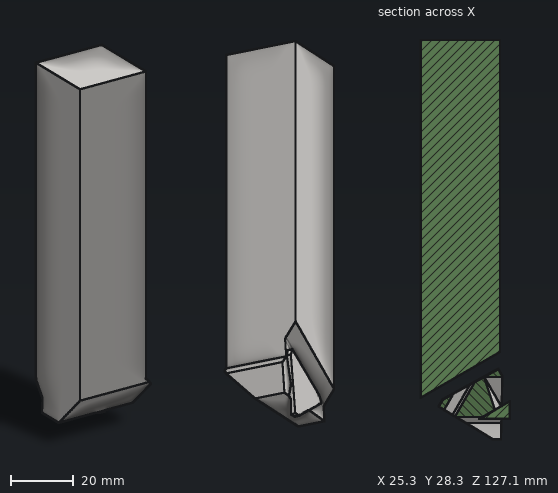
import cadquery as cq
import math

shank_width = 25.3
shank_bottom = 6.6
shank_top = 127.1
end_bevel = 12.2

ledge_depth = 3.0
ledge_outer_top = 17.2
ledge_corner_chamfer = 1.9

pocket_incline = 30.0
pocket_tilt = 4.5
pocket_shoulder = 45.0
pocket_start = 16.9
pocket_depth = 3.8
pocket_fillet = 1.3

corner_count = 3
half_corner_angle = 30.0
insert_side = 24.8
insert_thickness = 2.0
insert_corner_flat = 2.7
insert_clocking = 1.2
insert_center_y = 18.7
insert_center_z = 10.9

nib_back_x = 1.5
nib_top = 5.2
nib_ramp_width = 2.5
nib_ramp_height = 3.8

cutter_reach = 76.3
cutter_margin = 6.4

incline_cos = math.cos(math.radians(pocket_incline))
incline_sin = math.sin(math.radians(pocket_incline))
tilt_cos = math.cos(math.radians(pocket_tilt))
tilt_sin = math.sin(math.radians(pocket_tilt))
groove_direction = cq.Vector(0, incline_cos, incline_sin)
across_direction = cq.Vector(0, incline_sin, -incline_cos)

pocket_origin = cq.Vector(0, 0, pocket_start)
shoulder_slope = math.tan(math.radians(pocket_shoulder - pocket_tilt))
floor_start = pocket_depth / shoulder_slope
floor_corner = pocket_origin + cq.Vector(pocket_depth, 0, 0) + across_direction * floor_start


def make_ledge():
    """Ledge on the +Y face: 45 degree top, and a chamfer on its outer +X corner."""
    outer_y = shank_width + ledge_depth
    ledge = (
        cq.Workplane("YZ")
        .polyline([
            (shank_width, shank_bottom),
            (outer_y, shank_bottom),
            (outer_y, ledge_outer_top),
            (shank_width, ledge_outer_top + ledge_depth),
        ])
        .close()
        .extrude(shank_width)
    )
    return ledge.edges("|Z and >X and >Y").chamfer(ledge_corner_chamfer)


def make_end_bevel_cutter():
    """45 degree wedge that bevels the bottom +X corner across the shank and the ledge."""
    return (
        cq.Workplane("XZ")
        .polyline([
            (shank_width - end_bevel, shank_bottom),
            (shank_width, shank_bottom + end_bevel),
            (shank_width, shank_bottom),
        ])
        .close()
        .extrude(-2 * shank_width)
    )


def make_pocket_cutter():
    """Space swept by the pocket: a sloped shoulder, a fillet and a tilted floor."""
    outside_x = -cutter_margin
    floor_end = floor_start + cutter_reach
    floor_rise = cutter_reach * tilt_sin / tilt_cos
    section = cq.Plane(pocket_origin, xDir=(1, 0, 0), normal=groove_direction)
    cutter = (
        cq.Workplane(section)
        .polyline([
            (outside_x, outside_x / shoulder_slope),
            (pocket_depth, floor_start),
            (pocket_depth - floor_rise, floor_end),
            (outside_x - floor_rise, floor_end),
        ])
        .close()
        .extrude(cutter_reach, both=True)
    )
    inner_edge = cq.selectors.NearestToPointSelector(floor_corner.toTuple())
    return cutter.edges(inner_edge).fillet(pocket_fillet)


def make_holder():
    """Shank with its ledge, bevelled end and insert pocket."""
    shank = cq.Workplane("XY").box(
        shank_width, shank_width, shank_top - shank_bottom, centered=False
    ).translate((0, 0, shank_bottom))
    return shank.union(make_ledge()).cut(make_end_bevel_cutter()).cut(make_pocket_cutter())


def insert_outline(center_x, center_y):
    """Equilateral triangle; each corner is cut square to the edge that runs into it."""
    corner_radius = insert_side / math.sqrt(3)
    square_cut = insert_corner_flat * math.tan(math.radians(half_corner_angle))
    slanted_cut = insert_corner_flat / math.cos(math.radians(half_corner_angle))
    corners = []
    for k in range(corner_count):
        angle = math.radians(90 + insert_clocking + k * 360 / corner_count)
        corner_x = center_x + corner_radius * math.cos(angle)
        corner_y = center_y + corner_radius * math.sin(angle)
        corners.append(cq.Vector(corner_x, corner_y, 0))
    points = []
    for k, corner in enumerate(corners):
        to_previous = (corners[k - 1] - corner).normalized()
        to_next = (corners[(k + 1) % corner_count] - corner).normalized()
        for point in (corner + to_previous * square_cut, corner + to_next * slanted_cut):
            points.append((point.x, point.y))
    return points


def make_nib_relief():
    """Space behind the bottom cutting corner: an upright back face with a ramp above it."""
    far_x = nib_back_x + nib_ramp_width
    return (
        cq.Workplane("XZ")
        .polyline([
            (nib_back_x, -cutter_margin),
            (nib_back_x, nib_top),
            (far_x, nib_top + nib_ramp_height),
            (far_x, -cutter_margin),
        ])
        .close()
        .extrude(-2 * shank_width)
    )


def make_insert():
    """Triangular plate seated on the pocket floor, thinned behind each cutting corner."""
    outward = cq.Vector(-tilt_cos, 0, 0) - across_direction * tilt_sin
    seat = cq.Plane(floor_corner, xDir=groove_direction, normal=outward)
    offset = cq.Vector(0, insert_center_y, insert_center_z) - pocket_origin
    center_x = offset.dot(groove_direction)
    center_y = (offset.dot(across_direction) - floor_start) / tilt_cos
    insert_plate = (
        cq.Workplane(seat)
        .polyline(insert_outline(center_x, center_y))
        .close()
        .extrude(insert_thickness)
    )
    axis_start = seat.toWorldCoords((center_x, center_y, 0))
    axis_end = axis_start + outward
    relief = make_nib_relief()
    for k in range(corner_count):
        turned_relief = relief.rotate(axis_start.toTuple(), axis_end.toTuple(), k * 360 / corner_count)
        insert_plate = insert_plate.cut(turned_relief)
    return insert_plate


holder = make_holder()
insert = make_insert()

result = cq.Compound.makeCompound([holder.solids().val(), insert.solids().val()])